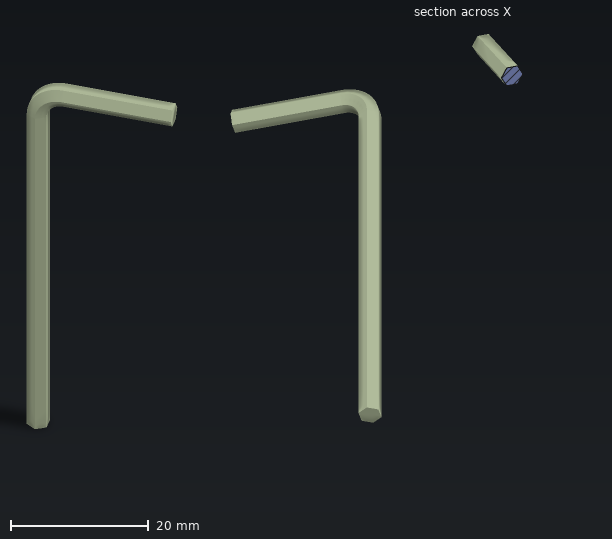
import cadquery as cq
import math

long_arm = 63.5
short_arm = 22.0
across_flats = 3.0
inner_bend_radius = 2.55

across_corners = across_flats / math.cos(math.radians(30))
bend_radius = inner_bend_radius + across_flats / 2
bend_top = long_arm - across_flats / 2
bend_start = bend_top - bend_radius
arm_tip = short_arm - across_flats / 2
bend_middle = bend_radius * math.sin(math.radians(45))

center_line = (
    cq.Workplane("XZ")
    .lineTo(0, bend_start)
    .threePointArc(
        (bend_radius - bend_middle, bend_start + bend_middle),
        (bend_radius, bend_top),
    )
    .lineTo(arm_tip, bend_top)
)

hexagon = cq.Workplane("XY").transformed(rotate=(0, 0, 90)).polygon(6, across_corners)

result = hexagon.sweep(center_line)